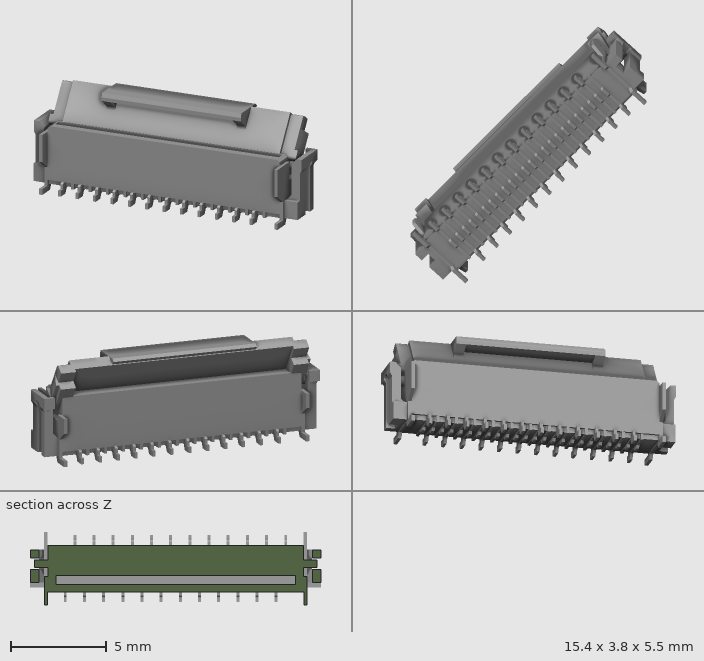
import cadquery as cq
import math


body_half_length = 6.67
body_half_width = 1.23
body_bottom = 0.37
body_top = 3.6
end_chamfer_x, end_chamfer_z = 0.15, 0.11
trench_half_length = 6.44
trench_front, trench_back = -0.8, -0.35
trench_floor = 2.31
shoulder_floor = 3.08
window_height = 0.1

contact_count = 24
contact_span = 11.5
contact_pitch = contact_span / (contact_count - 1)
contact_width = 0.15
contact_reach = 1.74
contact_tip = 1.2
contact_top = 0.66
foot_height = 0.32
arch_height = 0.3
skirt_half_width = 1.08
skirt_top = 0.63

plate_thickness = 0.18
overall_width = 3.8
plate_reach = overall_width / 2
plate_front_top, plate_back_top = 3.3, 2.6
plate_flare_bottom, plate_flare_top = 1.32, 1.8
notch_front, notch_back = -0.4, 0.99
plate_outer = body_half_length + plate_thickness

overall_half_length = 7.7
leg_outer, leg_inner = 7.59, 7.11
leg_back = 1.0
cap_front, cap_back = -0.72, 1.25
cap_bottom, cap_taper_bottom = 3.0, 2.82
cap_recess_width, cap_recess_depth = 0.3, 0.31
foot_block_top = 1.34
foot_block_gusset = 0.26
channel_front, channel_back = -0.023, 0.54
channel_top = 3.22
channel_corner = 0.1
pin_radius = 0.28
pin_height = 2.93
pin_end = 7.39

lid_tilt = math.radians(35.3)
lid_top_y, lid_top_z = 1.02, 5.5
lid_half_length = 6.24
lid_slope_length = 2.31
lid_thickness = 0.62
wing_half_length = 6.93
wing_inner = 6.08
wing_front_depth, wing_back_depth = 0.18, 0.82
wing_slope_end = 2.43
heel_start, heel_depth = 0.74, 1.3
ear_start, ear_end = 0.72, 1.92
ear_front_depth, ear_back_depth = 0.22, 1.02
wing_corner_radius = 0.15

grip_half_length = 4.0
gusset_inner = 3.5
grip_front = -0.3
grip_lip_bottom = 5.07
grip_rear_y, grip_rear_z = 1.71, 5.36
flange_root_slope = 0.65
gusset_top_slope, gusset_root_slope = 0.46, 1.31
grip_embed = 0.08


def box(x0, x1, y0, y1, z0, z1):
    return cq.Workplane("XY").box(x1 - x0, y1 - y0, z1 - z0, centered=False).translate((x0, y0, z0))


def extrude_along_x(points, x0, x1):
    """Extrude a closed (y, z) outline from x0 to x1."""
    return cq.Workplane("YZ", origin=(x0, 0, 0)).polyline(points).close().extrude(x1 - x0)


def extrude_along_y(points, y0, y1):
    """Extrude a closed (x, z) outline from y0 to y1."""
    return cq.Workplane("XZ", origin=(0, y1, 0)).polyline(points).close().extrude(y1 - y0)


def on_lid(slope, depth):
    """Position (y, z) at a distance down the lid slope and a depth behind its outer face."""
    y = lid_top_y - slope * math.sin(lid_tilt) + depth * math.cos(lid_tilt)
    z = lid_top_z - slope * math.cos(lid_tilt) - depth * math.sin(lid_tilt)
    return y, z


def lid_slab(x0, x1, slope0, slope1, depth0, depth1):
    corners = [(slope0, depth0), (slope1, depth0), (slope1, depth1), (slope0, depth1)]
    return extrude_along_x([on_lid(*corner) for corner in corners], x0, x1)


def make_body():
    outline = [
        (-body_half_length, skirt_top),
        (body_half_length, skirt_top),
        (body_half_length, body_top - end_chamfer_z),
        (body_half_length - end_chamfer_x, body_top),
        (-body_half_length + end_chamfer_x, body_top),
        (-body_half_length, body_top - end_chamfer_z),
    ]
    body = extrude_along_y(outline, -body_half_width, body_half_width)
    body = body.cut(box(-trench_half_length, trench_half_length, trench_front, trench_back,
                        shoulder_floor, body_top))
    body = body.cut(box(-lid_half_length, lid_half_length, trench_front, trench_back,
                        trench_floor, body_top))
    body = body.cut(box(-body_half_length, body_half_length, channel_front, channel_back,
                        trench_floor, trench_floor + window_height))
    return body.union(box(-body_half_length, body_half_length, -skirt_half_width, skirt_half_width,
                          body_bottom, skirt_top))


def contact_x(index):
    return index * contact_pitch - contact_span / 2


def make_contact(index):
    """Bent contact whose solder foot points to the front on even places, to the back on odd ones."""
    side = -1 if index % 2 == 0 else 1
    profile = [
        (contact_reach, 0), (contact_reach, foot_height), (1.48, foot_height), (1.48, 0.59),
        (1.4, contact_top), (-contact_tip, contact_top), (-contact_tip, arch_height),
        (-0.31, arch_height), (-0.22, 0.14), (0.22, 0.14), (0.31, arch_height), (1.02, arch_height), (1.17, 0),
    ]
    points = [(side * y, z) for y, z in profile]
    start = contact_x(index) - contact_width / 2
    return extrude_along_x(points, start, start + contact_width)


def make_plate():
    """Hold-down plate at the -X end, with two solder feet and a notch under the lid pin."""
    profile = [
        (plate_reach, 0), (plate_reach, foot_height), (body_half_width, foot_height),
        (body_half_width, plate_flare_bottom), (plate_reach, plate_flare_top),
        (plate_reach, plate_back_top), (notch_back, plate_back_top),
        (notch_back, trench_floor), (notch_front, trench_floor),
        (notch_front, plate_front_top), (-plate_reach, plate_front_top),
        (-plate_reach, plate_flare_top), (-body_half_width, plate_flare_bottom),
        (-body_half_width, foot_height), (-plate_reach, foot_height), (-plate_reach, 0),
        (-0.94, 0), (-0.79, arch_height), (0.79, arch_height), (0.94, 0),
    ]
    return extrude_along_x(profile, -plate_outer, -body_half_length)


def make_end_leg():
    """Leg, cap and foot block at the -X end, split by a vertical channel."""
    leg = box(-leg_outer, -leg_inner, cap_front, leg_back, body_bottom, body_top)
    cap_outline = [
        (-leg_inner, cap_bottom),
        (-overall_half_length, cap_bottom),
        (-overall_half_length, body_top),
        (-leg_inner, body_top),
    ]
    taper_outline = [
        (-leg_inner, cap_taper_bottom),
        (-leg_outer, cap_taper_bottom),
        (-overall_half_length, cap_bottom),
        (-leg_inner, cap_bottom),
    ]
    leg = leg.union(extrude_along_y(cap_outline, cap_front, cap_back))
    leg = leg.union(extrude_along_y(taper_outline, cap_front, leg_back))
    recess_outline = [
        (-leg_inner, body_top),
        (-leg_inner - cap_recess_width, body_top),
        (-leg_inner, body_top - cap_recess_depth),
    ]
    leg = leg.cut(extrude_along_y(recess_outline, cap_front, leg_back))
    leg = leg.union(box(-leg_outer, -body_half_length, -leg_back, leg_back, body_bottom, foot_block_top))
    gusset_outline = [
        (-leg_inner, foot_block_top),
        (-leg_inner + foot_block_gusset, foot_block_top),
        (-leg_inner, foot_block_top + foot_block_gusset),
    ]
    for y0, y1 in ((cap_front, channel_front), (channel_back, leg_back)):
        leg = leg.union(extrude_along_y(gusset_outline, y0, y1))
    channel = box(-overall_half_length, -leg_inner, channel_front, channel_back, body_bottom, channel_top)
    return leg.cut(channel.edges("|X and >Z").chamfer(channel_corner))


def make_ear():
    """Wedge on the -X side of the lid wing, growing outward toward its back."""
    outline = [
        (-wing_half_length, -ear_front_depth),
        (-leg_inner, -ear_back_depth),
        (-wing_half_length, -ear_back_depth),
    ]
    start_y, start_z = on_lid(ear_start, 0)
    down_slope = cq.Vector(0, -math.sin(lid_tilt), -math.cos(lid_tilt))
    section = cq.Plane(origin=(0, start_y, start_z), xDir=(1, 0, 0), normal=down_slope)
    return cq.Workplane(section).polyline(outline).close().extrude(ear_end - ear_start)


def make_lid_wing():
    """Stepped end of the lid at -X, with a tapered ear and the hinge pin."""
    wing = lid_slab(-wing_half_length, -wing_inner, 0, wing_slope_end, wing_front_depth, wing_back_depth)
    wing = wing.union(lid_slab(-wing_half_length, -wing_inner, heel_start, wing_slope_end,
                               wing_front_depth, heel_depth))
    wing = wing.union(lid_slab(-leg_inner, -wing_half_length, ear_end, wing_slope_end,
                               wing_front_depth, wing_back_depth))
    for slope in (0, wing_slope_end):
        corner = (-wing_half_length, *on_lid(slope, wing_front_depth))
        nearest_edge = cq.selectors.NearestToPointSelector(corner)
        wing = wing.edges("|X").edges(nearest_edge).fillet(wing_corner_radius)
    wing = wing.union(make_ear())
    pin = cq.Workplane("YZ", origin=(-pin_end, (channel_front + channel_back) / 2, pin_height))
    return wing.union(pin.circle(pin_radius).extrude(pin_end - body_half_length))


def make_grip():
    """Finger grip: a flange over the lid, closed by a gusset at each end."""
    rear = [(1.51, lid_top_z), (grip_rear_y, grip_rear_z), (1.54, 5.19), on_lid(0.31, 0.15), on_lid(0, 0)]
    flange = [
        on_lid(0, 0), (-0.22, lid_top_z), (grip_front, 5.27), (grip_front, grip_lip_bottom),
        on_lid(flange_root_slope, 0), on_lid(flange_root_slope, grip_embed), on_lid(grip_embed, grip_embed),
    ]
    grip = extrude_along_x(rear, -grip_half_length, grip_half_length)
    grip = grip.union(extrude_along_x(flange, -grip_half_length, grip_half_length))
    for x0 in (-grip_half_length, gusset_inner):
        gusset = (
            cq.Workplane("YZ", origin=(x0, 0, 0))
            .moveTo(grip_front, grip_lip_bottom)
            .lineTo(0.18, 4.7)
            .threePointArc((0.3, 4.59), on_lid(gusset_root_slope, 0))
            .lineTo(*on_lid(gusset_root_slope, grip_embed))
            .lineTo(*on_lid(gusset_top_slope, grip_embed))
            .close()
            .extrude(grip_half_length - gusset_inner)
        )
        grip = grip.union(gusset)
    return grip


def mirrored_pair(shape):
    return shape.union(shape.mirror("YZ"))


result = make_body()
for index in range(contact_count):
    slot_start = contact_x(index) - contact_width / 2
    slot = box(slot_start, slot_start + contact_width, -skirt_half_width, skirt_half_width,
               body_bottom, skirt_top)
    result = result.cut(slot).union(make_contact(index))
result = result.union(mirrored_pair(make_plate()))
result = result.union(mirrored_pair(make_end_leg()))
result = result.union(lid_slab(-lid_half_length, lid_half_length, 0, lid_slope_length, 0, lid_thickness))
result = result.union(mirrored_pair(make_lid_wing()))
result = result.union(make_grip())